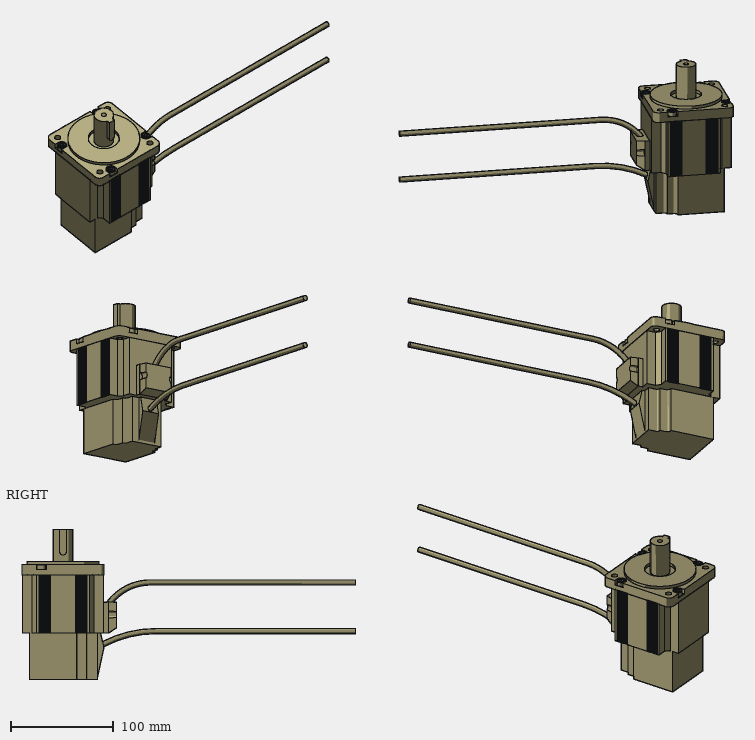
import cadquery as cq
import math


body_bottom = 45.0
flange_bottom = 102.0
flange_top = 112.0
pilot_top = 115.0
shaft_top = 146.0

flange_side = 80.0
flange_corner_radius = 5.5
mount_hole_diameter = 6.0
mount_hole_offset = 31.8
pilot_diameter = 70.0
recess_diameter = 30.2
recess_depth = 3.0

screw_along_side = 21.0
screw_from_axis = 35.7
slot_width = 9.7
slot_depth = 5.0
screw_head_diameter = 8.0
screw_head_chamfer = 0.5
hex_across_flats = 4.0
hex_depth = 2.5

shaft_diameter = 19.0
center_hole_diameter = 5.0
key_width = 6.5
key_length = 25.0
key_reach = 12.3

body_side = 79.2
boss_half_width = 26.0
notch_chamfer = 4.2
fin_zone_inner = 12.0
fin_zone_outer = 23.5
fin_groove_count = 7
fin_groove_depth = 1.0

cover_half_width = 26.0
cover_back = -32.8
cover_front = 33.8
cover_steps = [
    (13.3, 21.5, 3.5),
    (23.0, 18.0, 3.0),
]

wedge_width = 19.5
wedge_top_y = 36.7
wedge_peak_y = 40.0
wedge_peak_z = 30.8
wedge_foot_z = 2.5

connector_top = 75.3
connector_ledge_y = 44.5
connector_outer_y = 52.3
connector_half_width = 17.2
connector_neck_half_width = 17.0
connector_tip_half_width = 15.3
connector_chamfer = 5.2
connector_groove_diameter = 6.8
connector_groove_z = 63.3

cable_diameter = 5.2
overall_length = 324.5
cable_end_y = overall_length - flange_side / 2


def plate(side, bottom, top):
    return cq.Workplane("XY").workplane(offset=bottom).rect(side, side).extrude(top - bottom)


def cylinder(diameter, bottom, top, center=(0, 0)):
    base = cq.Workplane("XY").workplane(offset=bottom)
    return base.center(*center).circle(diameter / 2).extrude(top - bottom)


def make_flange():
    flange = plate(flange_side, flange_bottom, flange_top)
    flange = flange.edges("|Z").fillet(flange_corner_radius)
    flange = flange.union(cylinder(pilot_diameter, flange_bottom, pilot_top))
    flange = flange.cut(cylinder(recess_diameter, pilot_top - recess_depth, pilot_top))
    for x in (-mount_hole_offset, mount_hole_offset):
        for y in (-mount_hole_offset, mount_hole_offset):
            flange = flange.cut(cylinder(mount_hole_diameter, flange_bottom, flange_top, (x, y)))
    return flange


def make_screw_slot():
    """Slot for the screw on the -Y side: a round end at the screw and straight walls to the edge."""
    floor = flange_top - slot_depth
    screw_center = (-screw_along_side, -screw_from_axis)
    round_end = cylinder(slot_width, floor, pilot_top, screw_center)
    straight_length = flange_side / 2 - screw_from_axis
    straight_center_y = -screw_from_axis - straight_length / 2
    straight = (
        cq.Workplane("XY")
        .workplane(offset=floor)
        .center(-screw_along_side, straight_center_y)
        .rect(slot_width, straight_length)
        .extrude(pilot_top - floor)
    )
    return round_end.union(straight)


def make_screw_head():
    floor = flange_top - slot_depth
    head = cylinder(screw_head_diameter, floor, flange_top, (-screw_along_side, -screw_from_axis))
    head = head.faces(">Z").edges().chamfer(screw_head_chamfer)
    hex_across_corners = hex_across_flats / math.cos(math.pi / 6)
    socket = (
        cq.Workplane("XY")
        .workplane(offset=flange_top - hex_depth)
        .center(-screw_along_side, -screw_from_axis)
        .polygon(6, hex_across_corners)
        .extrude(hex_depth)
    )
    return head.cut(socket)


def add_screws(flange):
    for quarter_turn in range(4):
        angle = 90 * quarter_turn
        flange = flange.cut(make_screw_slot().rotate((0, 0, 0), (0, 0, 1), angle))
        flange = flange.union(make_screw_head().rotate((0, 0, 0), (0, 0, 1), angle))
    return flange


def make_shaft():
    shaft = cylinder(shaft_diameter, flange_bottom, shaft_top)
    key_radius = key_width / 2
    key_bottom = shaft_top - key_length
    key = (
        cq.Workplane("YZ")
        .moveTo(-key_radius, shaft_top)
        .lineTo(-key_radius, key_bottom + key_radius)
        .threePointArc((0, key_bottom), (key_radius, key_bottom + key_radius))
        .lineTo(key_radius, shaft_top)
        .close()
        .extrude(key_reach)
    )
    cone_radius = center_hole_diameter / 2
    center_hole = cq.Solid.makeCone(
        0, cone_radius, cone_radius, cq.Vector(0, 0, shaft_top - cone_radius), cq.Vector(0, 0, 1)
    )
    return shaft.union(key).cut(cq.Workplane(center_hole))


def make_body():
    half = body_side / 2
    body = plate(body_side, body_bottom, flange_bottom)
    chamfer_end = boss_half_width + notch_chamfer
    notch = (
        cq.Workplane("XY")
        .workplane(offset=body_bottom)
        .moveTo(half, half)
        .lineTo(boss_half_width, half)
        .lineTo(boss_half_width, chamfer_end)
        .lineTo(chamfer_end, boss_half_width)
        .lineTo(half, boss_half_width)
        .close()
        .extrude(flange_bottom - body_bottom)
    )
    for quarter_turn in range(4):
        body = body.cut(notch.rotate((0, 0, 0), (0, 0, 1), 90 * quarter_turn))
    groove_width = (fin_zone_outer - fin_zone_inner) / (2 * fin_groove_count - 1)
    first_groove_y = fin_zone_inner + groove_width / 2
    groove_centers = []
    for index in range(fin_groove_count):
        y = first_groove_y + 2 * groove_width * index
        for x in (-half, half):
            groove_centers += [(x, y), (x, -y)]
    grooves = (
        cq.Workplane("XY")
        .workplane(offset=body_bottom)
        .pushPoints(groove_centers)
        .rect(2 * fin_groove_depth, groove_width)
        .extrude(flange_bottom - body_bottom)
    )
    return body.cut(grooves)


def make_rear_cover():
    cover = cq.Workplane("XY").moveTo(0, cover_back).lineTo(cover_half_width, cover_back)
    half_width = cover_half_width
    for shoulder_y, next_half_width, radius in cover_steps:
        bend = radius * (1 - math.sqrt(0.5))
        cover = (
            cover.lineTo(half_width, shoulder_y)
            .lineTo(next_half_width + radius, shoulder_y)
            .threePointArc(
                (next_half_width + bend, shoulder_y + bend), (next_half_width, shoulder_y + radius)
            )
        )
        half_width = next_half_width
    cover = cover.lineTo(half_width, cover_front).lineTo(0, cover_front).close().extrude(body_bottom)
    cover = cover.union(cover.mirror("YZ"))
    wedge = (
        cq.Workplane("YZ")
        .moveTo(0, wedge_foot_z)
        .lineTo(cover_front, wedge_foot_z)
        .lineTo(wedge_peak_y, wedge_peak_z)
        .lineTo(wedge_top_y, body_bottom)
        .lineTo(0, body_bottom)
        .close()
        .extrude(wedge_width / 2, both=True)
    )
    return cover.union(wedge)


def make_connector():
    base_y = body_side / 2
    connector = (
        cq.Workplane("XY")
        .workplane(offset=body_bottom)
        .moveTo(-connector_half_width, base_y)
        .lineTo(-connector_half_width, connector_ledge_y)
        .lineTo(-connector_neck_half_width, connector_ledge_y)
        .lineTo(-connector_tip_half_width, connector_outer_y)
        .lineTo(connector_tip_half_width, connector_outer_y)
        .lineTo(connector_neck_half_width, connector_ledge_y)
        .lineTo(connector_half_width, connector_ledge_y)
        .lineTo(connector_half_width, base_y)
        .close()
        .extrude(connector_top - body_bottom)
    )
    chamfer_cut = (
        cq.Workplane("YZ")
        .moveTo(connector_outer_y, body_bottom)
        .lineTo(connector_outer_y, body_bottom + connector_chamfer)
        .lineTo(connector_ledge_y, body_bottom)
        .close()
        .extrude(connector_half_width, both=True)
    )
    connector = connector.cut(chamfer_cut)
    groove_length = connector_outer_y - connector_ledge_y
    for x in (-connector_half_width, connector_half_width):
        groove = cq.Solid.makeCylinder(
            connector_groove_diameter / 2,
            groove_length,
            cq.Vector(x, connector_ledge_y, connector_groove_z),
            cq.Vector(0, 1, 0),
        )
        connector = connector.cut(cq.Workplane(groove))
    return connector


def make_cable(bend_start, entry, embed):
    """Cable straight along Y to `bend_start`, then one arc down to `entry`, both given as (Y, Z).

    It runs on straight for `embed` past `entry`, into the part that holds it.
    """
    run = bend_start[0] - entry[0]
    drop = bend_start[1] - entry[1]
    end_angle = 2 * math.atan2(drop, run)
    inner_end = (entry[0] - embed * math.cos(end_angle), entry[1] - embed * math.sin(end_angle))
    path = (
        cq.Workplane("YZ")
        .moveTo(cable_end_y, bend_start[1])
        .lineTo(*bend_start)
        .tangentArcPoint(entry, relative=False)
        .lineTo(*inner_end)
    )
    profile = cq.Workplane("XZ", origin=(0, cable_end_y, bend_start[1])).circle(cable_diameter / 2)
    return profile.sweep(path)


upper_cable = make_cable(bend_start=(85.0, 94.5), entry=(45.8, connector_top), embed=3.2)
lower_cable = make_cable(bend_start=(90.2, 47.0), entry=(39.3, 34.5), embed=2.5)

result = (
    add_screws(make_flange())
    .union(make_shaft())
    .union(make_body())
    .union(make_rear_cover())
    .union(make_connector())
    .union(upper_cable)
    .union(lower_cable)
)